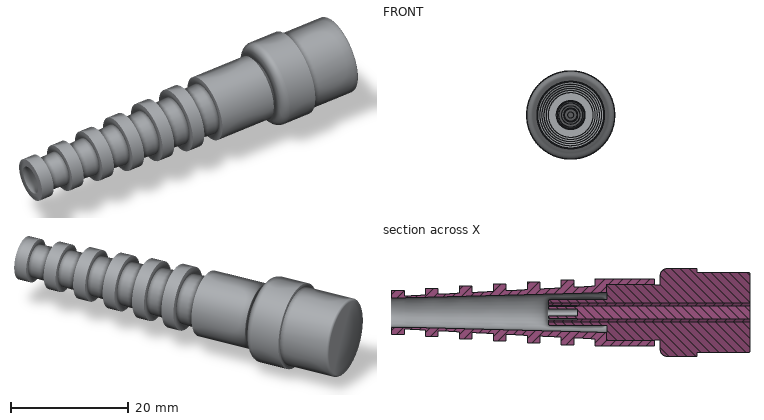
import cadquery as cq
import math


rib_count = 6
rib_pitch = 5.8
rib_thickness = 2.28
first_rib_radius = 3.82
rib_radius_step = 0.36
sleeve_tip_radius = 2.87
sleeve_taper = math.radians(3)
collar_radius = 5.79
collar_length = 10.25
collar_wall = 2.0
bore_radius = 2.48
bore_taper = math.radians(1.5)

total_length = 61.34
ring_radius = 7.555
ring_length = 6.37
ring_fillet = 1.25
barrel_radius = 6.9
barrel_length = 9.07
barrel_fillet = 0.4
neck_radius = 4.72
tube_radius = 2.3
tube_chamfer = 0.25
tube_length = 10.0
core_radius = 1.58

contact_clearance = 0.14
contact_radius = 1.06
wire_hole_radius = 0.52
wire_hole_depth = 5.0

collar_start = rib_count * rib_pitch
collar_end = collar_start + collar_length
barrel_start = total_length - barrel_length
ring_start = barrel_start - ring_length
neck_start = collar_start + collar_wall
tube_end = neck_start - tube_length


def sleeve_radius(y):
    return sleeve_tip_radius + (y - rib_thickness) * math.tan(sleeve_taper)


def cylinder(radius, start, end):
    """Solid cylinder on the Y axis from start to end."""
    plane = cq.Workplane("XZ", origin=(0, end, 0))
    return plane.circle(radius).extrude(end - start)


def revolve(profile):
    """Turn a closed (radius, Y) outline about the Y axis."""
    return cq.Workplane("XY").polyline(profile).close().revolve(360, (0, 0, 0), (0, 1, 0))


def make_boot():
    boot = revolve([
        (0, 0),
        (sleeve_radius(0), 0),
        (sleeve_radius(collar_start), collar_start),
        (collar_radius, collar_start),
        (collar_radius, collar_end),
        (0, collar_end),
    ])
    for index in range(rib_count):
        rib_start = index * rib_pitch
        rib_radius = first_rib_radius + index * rib_radius_step
        boot = boot.union(cylinder(rib_radius, rib_start, rib_start + rib_thickness))

    bore_end_radius = bore_radius + (neck_start - rib_thickness) * math.tan(bore_taper)
    bore = revolve([
        (0, 0),
        (bore_radius, 0),
        (bore_radius, rib_thickness),
        (bore_end_radius, neck_start),
        (neck_radius, neck_start),
        (neck_radius, collar_end),
        (0, collar_end),
    ])
    return boot.cut(bore)


def make_housing():
    barrel = cylinder(barrel_radius, barrel_start, total_length)
    barrel = barrel.faces(">Y").edges().fillet(barrel_fillet)
    ring = cylinder(ring_radius, ring_start, barrel_start)
    ring = ring.faces("<Y").edges().fillet(ring_fillet)
    neck = cylinder(neck_radius, neck_start, ring_start)
    tube = cylinder(tube_radius, tube_end, neck_start)
    tube = tube.faces("<Y").edges().chamfer(tube_chamfer)
    core_hole = cylinder(core_radius, tube_end, total_length)
    return barrel.union(ring).union(neck).union(tube).cut(core_hole)


def make_insulator():
    insulator = cylinder(core_radius, tube_end, total_length)
    contact_hole = cylinder(contact_radius, tube_end, total_length)
    entry = cylinder(contact_radius + contact_clearance, tube_end, tube_end + wire_hole_depth)
    return insulator.cut(contact_hole).cut(entry)


def make_contact():
    contact = cylinder(contact_radius, tube_end, total_length)
    wire_hole = cylinder(wire_hole_radius, tube_end, tube_end + wire_hole_depth)
    return contact.cut(wire_hole)


boot = make_boot()
housing = make_housing()
insulator = make_insulator()
contact = make_contact()

result = cq.Compound.makeCompound([
    boot.val(),
    housing.val(),
    insulator.val(),
    contact.val(),
])